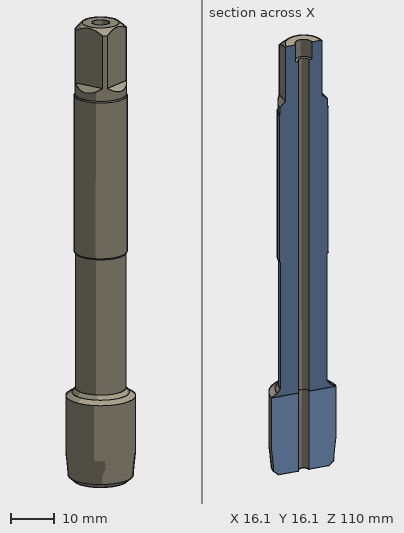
import cadquery as cq

total_length = 110.0
bore_diameter = 2.5

head_diameter = 16.1
head_top = 20.2
lead_taper_top = 6.8
lead_taper_diameter = 15.0
tip_chamfer_height = 1.1
tip_diameter = 12.5

stem_diameter = 11.7
stem_top = 54.7
grip_diameter = 12.2
grip_top = 92.8
collar_diameter = 11.9
flare_top = 22.1
flare_ring_diameter = 13.2
flare_ring_height = 21.1
step_chamfer_height = 0.3

square_width = 9.1
square_bottom = 95.9
end_face_diameter = 8.5
end_chamfer_height = 1.4

mouth_diameter = 4.0
mouth_depth = 4.4


def cut_bore(body):
    """Cut the through bore along the axis."""
    bore = cq.Workplane("XY").circle(bore_diameter / 2).extrude(total_length)
    return body.cut(bore)


def make_head():
    """Cylindrical head with a tapered lead and a chamfered tip."""
    profile = (
        cq.Workplane("XZ")
        .lineTo(tip_diameter / 2, 0)
        .lineTo(lead_taper_diameter / 2, tip_chamfer_height)
        .lineTo(head_diameter / 2, lead_taper_top)
        .lineTo(head_diameter / 2, head_top)
        .lineTo(0, head_top)
        .close()
    )
    return cut_bore(profile.revolve(360, (0, 0), (0, 1)))


def make_shank_blank():
    """Round shank, flared at its foot where it stands on the head."""
    profile = (
        cq.Workplane("XZ")
        .moveTo(0, head_top)
        .lineTo(head_diameter / 2, head_top)
        .lineTo(flare_ring_diameter / 2, flare_ring_height)
        .lineTo(stem_diameter / 2, flare_top)
        .lineTo(stem_diameter / 2, stem_top)
        .lineTo(grip_diameter / 2, stem_top + step_chamfer_height)
        .lineTo(grip_diameter / 2, grip_top - step_chamfer_height)
        .lineTo(collar_diameter / 2, grip_top)
        .lineTo(collar_diameter / 2, total_length - end_chamfer_height)
        .lineTo(end_face_diameter / 2, total_length)
        .lineTo(0, total_length)
        .close()
    )
    return profile.revolve(360, (0, 0), (0, 1))


def cut_drive_square(body):
    """Cut four flats, each running out at 45 degrees into the round neck."""
    inner = square_width / 2
    outer = grip_diameter / 2
    flat = (
        cq.Workplane("XZ")
        .moveTo(inner, total_length)
        .lineTo(inner, square_bottom)
        .lineTo(outer, square_bottom - (outer - inner))
        .lineTo(outer, total_length)
        .close()
        .extrude(outer, both=True)
    )
    for angle in (0, 90, 180, 270):
        body = body.cut(flat.rotate((0, 0, 0), (0, 0, 1), angle))
    return body


def cut_bore_mouth(body):
    """Cut the wider mouth of the bore into the top end face."""
    mouth = (
        cq.Workplane("XY", origin=(0, 0, total_length - mouth_depth))
        .circle(mouth_diameter / 2)
        .extrude(mouth_depth)
    )
    return body.cut(mouth)


head = make_head()
shank = cut_bore_mouth(cut_bore(cut_drive_square(make_shank_blank())))

result = cq.Compound.makeCompound([head.val(), shank.val()])